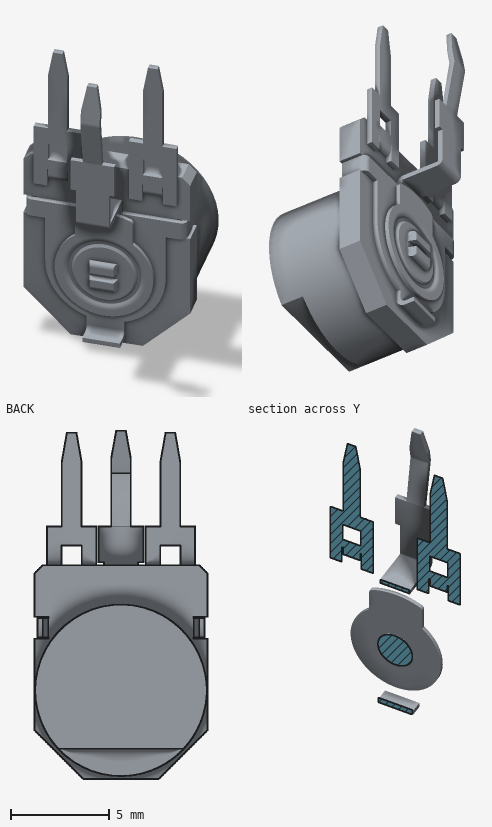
import cadquery as cq


overall_width = 8.8
overall_depth = 8.72
overall_height = 17.72

plate_half_width = overall_width / 2
plate_top = 6.36
plate_bottom = -4.52
plate_thickness = 1.24
top_chamfer = 0.43
bottom_chamfer = 2.5
housing_radius = 4.36
housing_rear = 5.53
housing_step_y = 4.24
housing_step_z = -2.98

clip_sheet = 0.27
inner_bend = 0.07
outer_bend = inner_bend + clip_sheet
strap_top = 3.69
strap_bottom = 2.68
strap_half_width = 4.25
strap_corner = 0.34
strap_rear = 1.19
notch_clearance = 0.045
notch_depth = 0.7
clip_radius = 3.17

foot_half_width = 1.0
foot_top = -2.9
foot_bottom = -4.1
foot_front = -1.06
foot_outer_bend = 0.55

pin_width = 1.01
pin_half_width = pin_width / 2
pin_tip_half_width = 0.25
shoulder_top = 8.33

arm_half_width = 0.87
arm_ledge_top = 4.54
arm_front = -2.71
arm_shoulder_half_width = 1.15
arm_shoulder_bottom = 6.5
arm_taper_start = 11.78
arm_top = plate_bottom + overall_height
peak_front = housing_rear - overall_depth
peak_z = 11.04
peak_flat = 0.1
tip_front = -2.84
tilted_depth = 0.3

terminal_spacing = 5.01
terminal_sheet = 0.32
terminal_half_width = 1.25
terminal_bottom = 4.75
terminal_taper_start = 11.62
terminal_top = 13.1
window_top = 7.35
slot_half_width = 0.55
slot_top = 5.78
tongue_bottom = 5.05
tongue_bend = 0.37

hub_radius = 1.01
disc_radius = 2.6
disc_rear = -0.35
disc_front = -0.57
lug_half_width = 1.52
lug_radius = 3.8
lug_corner = 0.21
groove_outer_radius = 2.22
groove_floor_radius = 1.91
groove_floor = -0.43
rotor_radius = 1.74
rotor_face_radius = 1.61
rotor_front = -0.55
rotor_bevel_radius = 1.7
rotor_bevel = 0.07

knob_half_width = 0.78
knob_height = 1.65
knob_half_height = knob_height / 2
knob_tip_half_width = 0.62
knob_tip_half_height = 0.6
knob_front = -1.0
knob_base = -0.53
knob_slot_width = 0.4
knob_slot_floor = disc_front


def block(x_min, x_max, y_min, y_max, z_min, z_max):
    size = (x_max - x_min, y_max - y_min, z_max - z_min)
    return cq.Workplane("XY").box(*size, centered=False).translate((x_min, y_min, z_min))


def centred_block(half_width, y_min, y_max, z_min, z_max):
    return block(-half_width, half_width, y_min, y_max, z_min, z_max)


def facing_front(y_rear):
    """Sketch plane at y_rear; extruding from it runs toward -Y."""
    return cq.Workplane("XZ", origin=(0, y_rear, 0))


def pin(depth, bottom, taper_start, top):
    """Straight pin with a tapered tip, running forward from the plate face."""
    return (
        facing_front(0)
        .moveTo(-pin_half_width, bottom)
        .lineTo(pin_half_width, bottom)
        .lineTo(pin_half_width, taper_start)
        .lineTo(pin_tip_half_width, top)
        .lineTo(-pin_tip_half_width, top)
        .lineTo(-pin_half_width, taper_start)
        .close()
        .extrude(depth)
    )


def make_plate():
    plate = centred_block(plate_half_width, 0, plate_thickness, plate_bottom, plate_top)
    plate = plate.edges("|Y and >Z").chamfer(top_chamfer)
    plate = plate.edges("|Y and <Z").chamfer(bottom_chamfer)
    notch_floor = plate_half_width - notch_depth
    notch_bottom = strap_bottom - notch_clearance
    notch_top = strap_top + notch_clearance
    for x_min in (-plate_half_width, notch_floor):
        notch = block(x_min, x_min + notch_depth, 0, plate_thickness, notch_bottom, notch_top)
        plate = plate.cut(notch)
    return plate


def make_housing():
    length = housing_rear - plate_thickness
    housing = facing_front(housing_rear).circle(housing_radius).extrude(length)
    step = centred_block(
        housing_radius, housing_step_y, housing_rear, -housing_radius, housing_step_z
    )
    return housing.cut(step)


def make_clip():
    sheet = (
        facing_front(0)
        .moveTo(-clip_radius, strap_bottom)
        .lineTo(-clip_radius, 0)
        .threePointArc((0, -clip_radius), (clip_radius, 0))
        .lineTo(clip_radius, strap_bottom)
        .close()
        .extrude(clip_sheet)
    )
    strap = centred_block(strap_half_width, -clip_sheet, strap_rear, strap_bottom, strap_top)
    strap = strap.edges("|Z and <Y").fillet(strap_corner)
    inside = centred_block(strap_half_width - clip_sheet, 0, strap_rear, strap_bottom, strap_top)
    return sheet.union(strap.cut(inside))


def make_foot():
    bend_y = -foot_outer_bend
    bend_z = foot_bottom + foot_outer_bend
    return (
        cq.Workplane("YZ")
        .moveTo(0, foot_top)
        .lineTo(0, bend_z)
        .tangentArcPoint((bend_y, foot_bottom), relative=False)
        .lineTo(foot_front, foot_bottom)
        .lineTo(foot_front, foot_bottom + clip_sheet)
        .lineTo(bend_y, foot_bottom + clip_sheet)
        .tangentArcPoint((-clip_sheet, bend_z), relative=False)
        .lineTo(-clip_sheet, foot_top)
        .close()
        .extrude(foot_half_width, both=True)
    )


def make_arm():
    """Terminal arm: up from the clip, forward as a ledge, then up to a kinked pin."""
    arm_rear = arm_front + clip_sheet
    riser = centred_block(arm_half_width, -clip_sheet, 0, strap_bottom, arm_ledge_top)
    ledge_bottom = arm_ledge_top - clip_sheet
    ledge = centred_block(arm_half_width, arm_front, 0, ledge_bottom, arm_ledge_top)
    upright = centred_block(arm_half_width, arm_front, arm_rear, ledge_bottom, shoulder_top)
    arm = riser.union(ledge).union(upright)

    inner_corners = ((-clip_sheet, ledge_bottom), (arm_rear, arm_ledge_top))
    outer_corners = ((0, arm_ledge_top), (arm_front, ledge_bottom))
    reach = inner_bend / 2
    for corners, radius in ((inner_corners, inner_bend), (outer_corners, outer_bend)):
        for y, z in corners:
            near = cq.selectors.BoxSelector(
                (-arm_half_width, y - reach, z - reach), (arm_half_width, y + reach, z + reach)
            )
            arm = arm.edges(near).edges("|X").fillet(radius)

    shoulder = centred_block(
        arm_shoulder_half_width, arm_front, arm_rear, arm_shoulder_bottom, shoulder_top
    )

    kink = (
        cq.Workplane("YZ")
        .moveTo(arm_rear, shoulder_top)
        .lineTo(peak_front + tilted_depth, peak_z)
        .lineTo(tip_front + tilted_depth, arm_top)
        .lineTo(tip_front, arm_top)
        .lineTo(peak_front, peak_z + peak_flat / 2)
        .lineTo(peak_front, peak_z - peak_flat / 2)
        .lineTo(arm_front, shoulder_top)
        .close()
        .extrude(pin_half_width, both=True)
    )
    outline = pin(-peak_front, shoulder_top, arm_taper_start, arm_top)
    return arm.union(shoulder).union(kink.intersect(outline))


def make_side_terminal(x):
    body = centred_block(
        terminal_half_width, -terminal_sheet, 0, terminal_bottom, shoulder_top
    )
    window = centred_block(pin_half_width, -terminal_sheet, 0, plate_top, window_top)
    slot = centred_block(slot_half_width, -terminal_sheet, 0, terminal_bottom, slot_top)
    tongue = centred_block(
        pin_half_width, -terminal_sheet, terminal_sheet, tongue_bottom, slot_top
    )
    tongue = tongue.edges("|X and <Y and <Z").fillet(tongue_bend)
    blade = pin(terminal_sheet, shoulder_top, terminal_taper_start, terminal_top)
    terminal = body.cut(window).cut(slot).union(tongue).union(blade)
    return terminal.translate((x, 0, 0))


def make_disc():
    thickness = disc_rear - disc_front
    disc = facing_front(disc_rear).circle(disc_radius).extrude(thickness)
    lug = facing_front(disc_rear).circle(lug_radius).extrude(thickness)
    lug = lug.intersect(centred_block(lug_half_width, disc_front, disc_rear, 0, lug_radius))
    lug = lug.edges("|Y").edges(">Z").fillet(lug_corner)
    hub = facing_front(-clip_sheet).circle(hub_radius).extrude(-clip_sheet - disc_rear)
    return disc.union(lug).union(hub)


def make_groove():
    """Ring cut into the disc face, leaving the bevelled rotor face set back inside it."""
    rise = groove_floor - disc_front
    run = groove_outer_radius - groove_floor_radius
    edge_rounding = (run**2 + rise**2) / (2 * rise)
    return (
        cq.Workplane("XY")
        .moveTo(0, disc_front)
        .lineTo(0, rotor_front)
        .lineTo(rotor_face_radius, rotor_front)
        .lineTo(rotor_bevel_radius, rotor_front + rotor_bevel)
        .lineTo(rotor_radius, groove_floor)
        .lineTo(groove_floor_radius, groove_floor)
        .radiusArc((groove_outer_radius, disc_front), -edge_rounding)
        .close()
        .revolve(360, (0, 0, 0), (0, 1, 0))
    )


def make_knob():
    """Two prongs with bulging outer sides, parted by the slot."""
    middle_y = (knob_front + knob_base) / 2
    along_x = (
        cq.Workplane("YZ")
        .moveTo(knob_front, -knob_tip_half_height)
        .lineTo(knob_front, knob_tip_half_height)
        .threePointArc((middle_y, knob_half_height), (knob_base, knob_tip_half_height))
        .lineTo(knob_base, -knob_tip_half_height)
        .threePointArc((middle_y, -knob_half_height), (knob_front, -knob_tip_half_height))
        .close()
        .extrude(knob_half_width, both=True)
    )
    along_z = (
        cq.Workplane("XY")
        .moveTo(-knob_tip_half_width, knob_front)
        .lineTo(knob_tip_half_width, knob_front)
        .lineTo(knob_half_width, knob_base)
        .lineTo(-knob_half_width, knob_base)
        .close()
        .extrude(knob_half_height, both=True)
    )
    slot = centred_block(
        knob_half_width, knob_front, knob_slot_floor, -knob_slot_width / 2, knob_slot_width / 2
    )
    return along_x.intersect(along_z).cut(slot)


result = make_plate().union(make_housing()).union(make_clip()).union(make_foot())
result = result.union(make_arm())
for side in (-1, 1):
    result = result.union(make_side_terminal(side * terminal_spacing / 2))
result = result.union(make_disc().cut(make_groove())).union(make_knob())